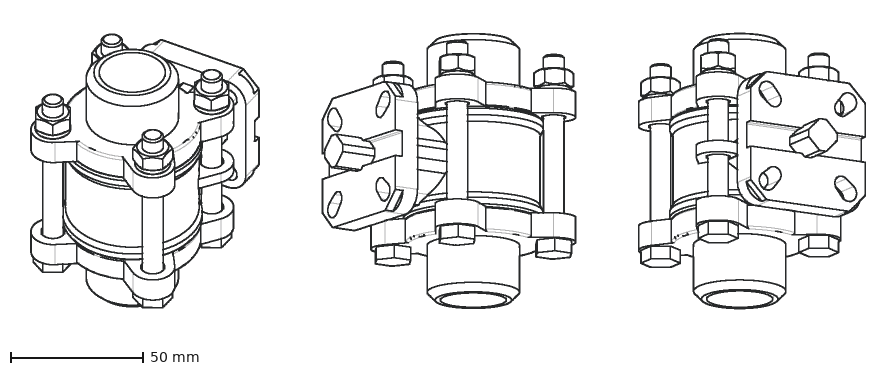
import cadquery as cq
import math

length = 100
pipe_radius = 17.5
bore_radius = 12.5
weld_chamfer = 3

flange_outer_z = 28.9
flange_thickness = 9.5
flange_inner_z = flange_outer_z - flange_thickness
flange_radius = 26.1
flange_outer_fillet = 0.9
flange_inner_fillet = 0.5
bolt_circle_radius = 31
overall_width = 60.5
ear_radius = overall_width / 2 - bolt_circle_radius / math.sqrt(2)
ear_taper = math.radians(10)
bolt_hole_diameter = 9
ear_angles = (45, 135, 225, 315)

body_radius = 25.3
collar_radius = 26.5
collar_top_chamfer = 0.9
collar_cone_start_z = 16
collar_cone_end_z = 13.7
lug_height = 4.4

shank_diameter = 7.8
thread_diameter = 8
bolt_end_z = 43.1
bolt_end_chamfer = 0.8
hex_flats = 13
hex_corners = hex_flats / math.cos(math.pi / 6)
head_height = 5
washer_diameter = 13.6
washer_thickness = 1.8
nut_height = 6.6
nut_face_diameter = 12

neck_start_y = 18
neck_radius = 14.5
neck_square = 27.2
neck_corner_width = 33.8
plate_start_y = 42
plate_thickness = 10
plate_end_y = plate_start_y + plate_thickness
plate_width = 50
plate_corner_radius = 8.2
corner_cut = 7
corner_cut_depth = 3.5
groove_width = 9.9
groove_depth = 3.1
groove_fillet = 0.5
slot_inner_radius = 20.8
slot_inner_width = 6
slot_outer_radius = 25
slot_outer_width = 7
overall_depth = 93.7
stem_end_y = overall_depth - overall_width / 2
stem_square = 10.8
stem_corner_width = 12.4


def disc(radius, bottom_z, top_z):
    return cq.Workplane("XY").workplane(offset=bottom_z).circle(radius).extrude(top_z - bottom_z)


def along_y(start_y):
    """Sketch plane facing +Y, with its local axes along -X and Z."""
    return cq.Workplane("XZ", origin=(0, start_y, 0)).transformed(rotate=(0, 180, 0))


def ear(angle, bottom_z, height):
    """Tapered arm from the tube axis to a round end about the bolt, with the bolt hole."""
    tangent_x = bolt_circle_radius + ear_radius * math.sin(ear_taper)
    tangent_y = ear_radius * math.cos(ear_taper)
    root_y = tangent_y + tangent_x * math.tan(ear_taper)
    arm = (
        cq.Workplane("XY")
        .workplane(offset=bottom_z)
        .moveTo(0, -root_y)
        .lineTo(tangent_x, -tangent_y)
        .threePointArc((bolt_circle_radius + ear_radius, 0), (tangent_x, tangent_y))
        .lineTo(0, root_y)
        .close()
        .extrude(height)
    )
    hole = disc(bolt_hole_diameter / 2, bottom_z, bottom_z + height).translate((bolt_circle_radius, 0, 0))
    return arm.cut(hole).rotate((0, 0, 0), (0, 0, 1), angle)


def end_flange():
    """Upper flange with its collar against the body."""
    flange = disc(flange_radius, flange_inner_z, flange_outer_z)
    flange = flange.faces(">Z").edges().fillet(flange_outer_fillet)
    flange = flange.faces("<Z").edges().fillet(flange_inner_fillet)
    for angle in ear_angles:
        flange = flange.union(ear(angle, flange_inner_z, flange_thickness))
    collar = (
        cq.Workplane("XZ")
        .moveTo(0, collar_cone_end_z)
        .lineTo(body_radius, collar_cone_end_z)
        .lineTo(collar_radius, collar_cone_start_z)
        .lineTo(collar_radius, flange_inner_z - collar_top_chamfer)
        .lineTo(collar_radius - collar_top_chamfer, flange_inner_z)
        .lineTo(0, flange_inner_z)
        .close()
        .revolve(360, (0, 0, 0), (0, 1, 0))
    )
    return flange.union(collar)


def nut():
    """Hexagon nut from Z = 0, with its corners along X and conical ends at 30 degrees."""
    corner_radius = hex_corners / 2
    face_radius = nut_face_diameter / 2
    cone_height = (corner_radius - face_radius) * math.tan(math.pi / 6)
    envelope = (
        cq.Workplane("XY")
        .circle(corner_radius)
        .extrude(nut_height)
        .faces("<Z or >Z")
        .chamfer(cone_height, corner_radius - face_radius)
    )
    return cq.Workplane("XY").polygon(6, hex_corners).extrude(nut_height).intersect(envelope)


def bolt(angle):
    """Bolt, washer and nut; the nut is turned with the ear, the bolt head is not."""
    washer_top_z = flange_outer_z + washer_thickness
    head = (
        cq.Workplane("XY")
        .workplane(offset=-flange_outer_z - head_height)
        .transformed(rotate=(0, 0, 90))
        .polygon(6, hex_corners)
        .extrude(head_height)
    )
    shank = disc(shank_diameter / 2, -flange_outer_z, flange_outer_z)
    thread = disc(thread_diameter / 2, flange_outer_z, bolt_end_z).faces(">Z").chamfer(bolt_end_chamfer)
    washer = (
        cq.Workplane("XZ")
        .moveTo(0, flange_outer_z)
        .lineTo(washer_diameter / 2 - washer_thickness / 2, flange_outer_z)
        .threePointArc(
            (washer_diameter / 2, flange_outer_z + washer_thickness / 2),
            (washer_diameter / 2 - washer_thickness / 2, washer_top_z),
        )
        .lineTo(0, washer_top_z)
        .close()
        .revolve(360, (0, 0, 0), (0, 1, 0))
    )
    turned_nut = nut().rotate((0, 0, 0), (0, 0, 1), angle - 45).translate((0, 0, washer_top_z))
    x = bolt_circle_radius * math.cos(math.radians(angle))
    y = bolt_circle_radius * math.sin(math.radians(angle))
    return head.union(shank).union(thread).union(washer).union(turned_nut).translate((x, y, 0))


def cut_square(square, corner_width, start_y, end_y):
    """Square bar along Y standing on its corners, with the corners cut off flat."""
    depth = end_y - start_y
    bar = along_y(start_y).transformed(rotate=(0, 0, 45)).rect(square, square).extrude(depth)
    return bar.intersect(along_y(start_y).rect(corner_width, corner_width).extrude(depth))


def tapered_slot():
    """Slot along the local X axis of the plate, wider at its outer end, with tangent flanks."""
    inner = slot_inner_width / 2
    outer = slot_outer_width / 2
    lean_sine = (outer - inner) / (slot_outer_radius - slot_inner_radius)
    lean_cosine = math.sqrt(1 - lean_sine**2)
    inner_x = slot_inner_radius - inner * lean_sine
    outer_x = slot_outer_radius - outer * lean_sine
    return (
        along_y(plate_start_y)
        .moveTo(inner_x, inner * lean_cosine)
        .lineTo(outer_x, outer * lean_cosine)
        .threePointArc((slot_outer_radius + outer, 0), (outer_x, -outer * lean_cosine))
        .lineTo(inner_x, -inner * lean_cosine)
        .threePointArc((slot_inner_radius - inner, 0), (inner_x, inner * lean_cosine))
        .close()
        .extrude(plate_thickness)
    )


def mounting_plate():
    """Square plate with round corners, corner cuts, four diagonal slots and a groove along X."""
    half = plate_width / 2
    plate = along_y(plate_start_y).rect(plate_width, plate_width).extrude(plate_thickness)
    plate = plate.edges("|Y").fillet(plate_corner_radius)
    corner = (
        along_y(plate_end_y - corner_cut_depth)
        .polyline([(half, half), (half - corner_cut, half), (half, half - corner_cut)])
        .close()
        .extrude(corner_cut_depth)
    )
    for angle in ear_angles:
        plate = plate.cut(tapered_slot().rotate((0, 0, 0), (0, 1, 0), angle))
        plate = plate.cut(corner.rotate((0, 0, 0), (0, 1, 0), angle - 45))
    groove = cq.Workplane("XY").box(plate_width, groove_depth, groove_width)
    groove = groove.edges("|X and <Y").fillet(groove_fillet)
    return plate.cut(groove.translate((0, plate_end_y - groove_depth / 2, 0)))


tube = disc(pipe_radius, -length / 2, length / 2).faces("<Z or >Z").chamfer(weld_chamfer)
body = disc(body_radius, -flange_inner_z, flange_inner_z)
lug = ear(45, -lug_height / 2, lug_height)
upper_flange = end_flange()
lower_flange = upper_flange.mirror("XY")

neck = along_y(neck_start_y).circle(neck_radius).extrude(plate_start_y - neck_start_y)
neck = neck.union(cut_square(neck_square, neck_corner_width, neck_start_y, plate_start_y))
stem = cut_square(stem_square, stem_corner_width, plate_start_y, stem_end_y)

result = tube.union(body).union(lug).union(upper_flange).union(lower_flange)
result = result.union(neck).union(mounting_plate()).union(stem)
result = result.cut(disc(bore_radius, -length / 2, length / 2))
for ear_angle in ear_angles:
    result = result.union(bolt(ear_angle))